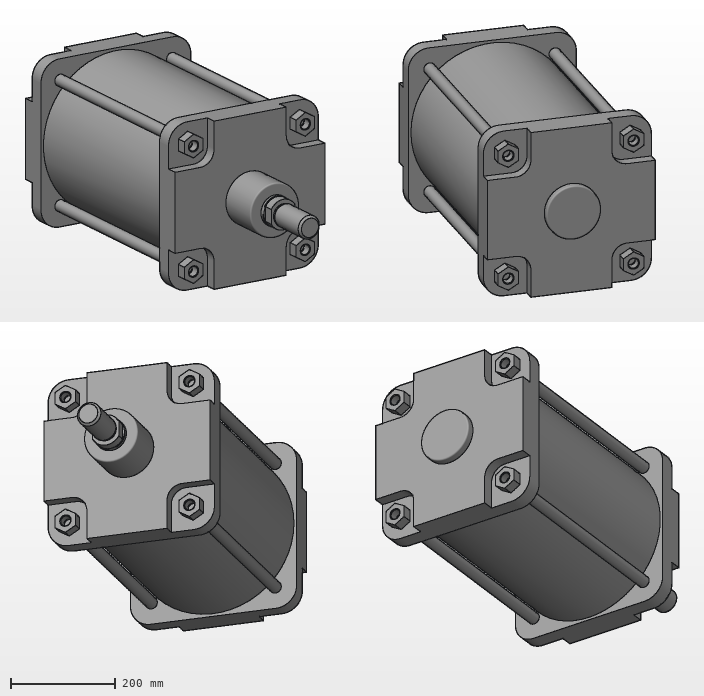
import cadquery as cq
import math


TOTAL_LENGTH = 772.0

CAP_SIDE = 340.0
CAP_CORNER_RADIUS = 42.0
FLANGE_THICKNESS = 32.5
CROSS_HEIGHT = 24.0
CORNER_RECESS = 88.0
RECESS_RADIUS = 31.0
CAP_THICKNESS = FLANGE_THICKNESS + CROSS_HEIGHT

BOSS_DIAMETER = 110.0
BOSS_FILLET = 3.0
REAR_BOSS_LENGTH = 15.5
FRONT_BOSS_LENGTH = 89.5

BARREL_DIAMETER = 329.0
BARREL_LENGTH = 428.0

TIE_ROD_DIAMETER = 24.0
TIE_ROD_SPACING = 253.0
NUT_ACROSS_FLATS = 42.0
NUT_THICKNESS = 22.0
NUT_HOLE_DIAMETER = 20.0
NUT_HOLE_CHAMFER = 1.5

SHOULDER_DIAMETER = 63.0
SHOULDER_LENGTH = 9.0
SHOULDER_TAPER_LENGTH = 2.0
SHANK_DIAMETER = 62.0
SHANK_LENGTH = 21.0
ACROSS_FLATS = 54.0
NECK_DIAMETER = 44.0
NECK_LENGTH = 5.0
THREAD_DIAMETER = 48.0
THREAD_CHAMFER = 5.0

REAR_CAP_FACE = REAR_BOSS_LENGTH
BARREL_START = REAR_CAP_FACE + CAP_THICKNESS
BARREL_END = BARREL_START + BARREL_LENGTH
FRONT_CAP_FACE = BARREL_END + CAP_THICKNESS
ROD_START = FRONT_CAP_FACE + FRONT_BOSS_LENGTH

TIE_ROD_OFFSET = TIE_ROD_SPACING / 2
TIE_ROD_POINTS = [(y, z) for y in (-TIE_ROD_OFFSET, TIE_ROD_OFFSET) for z in (-TIE_ROD_OFFSET, TIE_ROD_OFFSET)]


def section(x):
    """Workplane across the cylinder axis at x, with local axes along Y and Z."""
    return cq.Workplane("YZ", origin=(x, 0, 0))


def rod(x, diameter, length):
    """Cylinder on the cylinder axis that starts at x."""
    return section(x).circle(diameter / 2).extrude(length)


def make_cap(boss_length):
    """Cap with its inner face at x = 0 and its boss toward +X."""
    cap = section(0).rect(CAP_SIDE, CAP_SIDE).extrude(CAP_THICKNESS).edges("|X").fillet(CAP_CORNER_RADIUS)

    corner_cutters = (
        section(FLANGE_THICKNESS)
        .rect(CAP_SIDE, CAP_SIDE, forConstruction=True)
        .vertices()
        .rect(2 * CORNER_RECESS, 2 * CORNER_RECESS)
        .extrude(CROSS_HEIGHT)
        .edges("|X")
        .fillet(RECESS_RADIUS)
    )
    tie_rod_holes = section(0).pushPoints(TIE_ROD_POINTS).circle(TIE_ROD_DIAMETER / 2).extrude(CAP_THICKNESS)
    boss = rod(CAP_THICKNESS, BOSS_DIAMETER, boss_length).faces(">X").fillet(BOSS_FILLET)
    return cap.cut(corner_cutters).cut(tie_rod_holes).union(boss)


def make_tie_rod(y, z):
    """Tie rod along X through (y, z), in one piece with its two bored nuts."""
    rear_seat = BARREL_START - FLANGE_THICKNESS
    front_seat = BARREL_END + FLANGE_THICKNESS
    rear_end = rear_seat - NUT_THICKNESS
    nut_across_corners = NUT_ACROSS_FLATS / math.cos(math.pi / 6)

    tie_rod = section(rear_seat).circle(TIE_ROD_DIAMETER / 2).extrude(front_seat - rear_seat)
    for nut_start, outer_face in ((rear_end, "<X"), (front_seat, ">X")):
        nut = (
            section(nut_start)
            .transformed(rotate=(0, 0, 90))
            .polygon(6, nut_across_corners)
            .extrude(NUT_THICKNESS)
            .cut(section(nut_start).circle(NUT_HOLE_DIAMETER / 2).extrude(NUT_THICKNESS))
        )
        nut = nut.faces(outer_face).edges("%CIRCLE").chamfer(NUT_HOLE_CHAMFER)
        tie_rod = tie_rod.union(nut)
    return tie_rod.translate((0, y, z))


def make_piston_rod():
    """Rod end with wrench flats facing -Y and +Y, a neck and a threaded end."""
    shank_start = ROD_START + SHOULDER_LENGTH
    neck_start = shank_start + SHANK_LENGTH
    neck_end = neck_start + NECK_LENGTH
    shoulder_radius = SHOULDER_DIAMETER / 2
    shank_radius = SHANK_DIAMETER / 2
    neck_radius = NECK_DIAMETER / 2
    thread_radius = THREAD_DIAMETER / 2

    half_profile = [
        (ROD_START, 0),
        (ROD_START, shoulder_radius),
        (shank_start - SHOULDER_TAPER_LENGTH, shoulder_radius),
        (shank_start, shank_radius),
        (neck_start, shank_radius),
        (neck_start, neck_radius),
        (neck_end, neck_radius),
        (neck_end + thread_radius - neck_radius, thread_radius),
        (TOTAL_LENGTH - THREAD_CHAMFER, thread_radius),
        (TOTAL_LENGTH, thread_radius - THREAD_CHAMFER),
        (TOTAL_LENGTH, 0),
    ]
    piston_rod = cq.Workplane("XZ").polyline(half_profile).close().revolve(360, (0, 0), (1, 0))

    for side in (-1, 1):
        flat_cutter = (
            section(shank_start)
            .center(side * (ACROSS_FLATS + SHANK_DIAMETER) / 2, 0)
            .rect(SHANK_DIAMETER, SHANK_DIAMETER)
            .extrude(SHANK_LENGTH)
        )
        piston_rod = piston_rod.cut(flat_cutter)
    return piston_rod


rear_cap = make_cap(REAR_BOSS_LENGTH).mirror("YZ").translate((BARREL_START, 0, 0))
front_cap = make_cap(FRONT_BOSS_LENGTH).translate((BARREL_END, 0, 0))
barrel = rod(BARREL_START, BARREL_DIAMETER, BARREL_LENGTH)
tie_rods = [make_tie_rod(y, z) for y, z in TIE_ROD_POINTS]
piston_rod = make_piston_rod()

result = cq.Compound.makeCompound(
    [
        rear_cap.val(),
        front_cap.val(),
        barrel.val(),
        piston_rod.val(),
        *[tie_rod.val() for tie_rod in tie_rods],
    ]
)